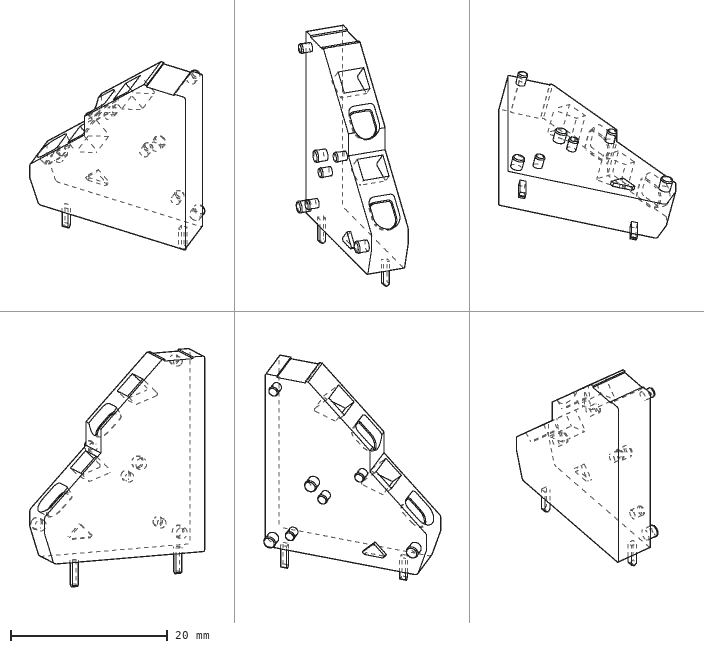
import cadquery as cq

BODY_LENGTH = 22.07
BODY_WIDTH = 5.08
BODY_HEIGHT = 25.55
LOWER_SLOPE_START_Z = 6.27
CHIN_Z = 4.05
CHIN_SETBACK = 1.27
STEP_X = 7.75
UPPER_SLOPE_START_Z = 17.12
FRONT_RADIUS = 0.5
BACK_RADIUS = 0.25
LABEL_START_X = 16.57
LABEL_END_X = 20.47
LABEL_DEPTH = 0.22

LOWER_SLOPE_RISE = LOWER_SLOPE_START_Z
UPPER_SLOPE_RISE = UPPER_SLOPE_START_Z - STEP_X
SLOPE_ANGLE = 45
CUT_CLEARANCE = 0.5

WIRE_LENGTH = 4.62
WIRE_MIN_Y = 0.62
WIRE_MAX_Y = 4.2
WIRE_DEPTH = 1.42
WIRE_TAPER = 0.32
WIRE_SMALL_CORNER = 0.5
WIRE_LARGE_CORNER = 0.9
WIRE_FLOOR_CHAMFER = 0.12

TEST_LENGTH = 2.95
TEST_MIN_Y = 0.52
TEST_MAX_Y = 4.05
TEST_SHALLOW_DEPTH = 1.65
TEST_DEEP_DEPTH = 3.15
TEST_END_RADIUS = 0.25

TIERS = [
    (LOWER_SLOPE_RISE, 0.22, 5.2),
    (UPPER_SLOPE_RISE, 7.0, 11.65),
]

PEG_LENGTH = 1.5
PEG_BEAD_START = 0.5
PEG_BEAD_CREST = 0.2
PEG_BEAD_HEIGHT = 0.05
LARGE_PEG_DIAMETER = 1.5
SMALL_PEG_DIAMETER = 1.2
LARGE_PEGS = [(1.5, 4.06), (15.39, 10.97), (20.97, 1.49)]
SMALL_PEGS = [(8.7, 13.66), (13.75, 9.35), (18.18, 3.0), (20.43, 23.97)]

PAD_THICKNESS = 0.5
PAD_MIN_X = 5.5
PAD_PEAK_X = 7.05
PAD_BOTTOM_Z = 1.88
PAD_SHOULDER_Z = 2.18

PIN_SIZE = 0.8
PIN_LENGTH = 3.45
PIN_EMBED = 1.0
PIN_TIP_HEIGHT = 0.35
PIN_TIP_INSET = 0.25
FRONT_PIN = (4.6, 1.27)
BACK_PIN = (19.88, 3.81)


def make_body():
    """Side profile in XZ, extruded over the full width, with its corners rounded."""
    upper_slope_end_x = BODY_HEIGHT - UPPER_SLOPE_RISE
    label_z = BODY_HEIGHT - LABEL_DEPTH
    profile = [
        (CHIN_SETBACK, 0),
        (BODY_LENGTH, 0),
        (BODY_LENGTH, BODY_HEIGHT),
        (LABEL_END_X, BODY_HEIGHT),
        (LABEL_END_X, label_z),
        (LABEL_START_X, label_z),
        (LABEL_START_X, BODY_HEIGHT),
        (upper_slope_end_x, BODY_HEIGHT),
        (STEP_X, UPPER_SLOPE_START_Z),
        (STEP_X, STEP_X + LOWER_SLOPE_RISE),
        (0, LOWER_SLOPE_START_Z),
        (0, CHIN_Z),
    ]
    body = cq.Workplane("XZ").polyline(profile).close().extrude(-BODY_WIDTH)

    def corner(x, z):
        return cq.selectors.NearestToPointSelector((x, BODY_WIDTH / 2, z))

    for x, z in [(CHIN_SETBACK, 0), (0, LOWER_SLOPE_START_Z), (0, CHIN_Z)]:
        body = body.edges("|Y").edges(corner(x, z)).fillet(FRONT_RADIUS)
    for z in (0, BODY_HEIGHT):
        body = body.edges("|Y").edges(corner(BODY_LENGTH, z)).fillet(BACK_RADIUS)
    return body


def place_on_slope(cutter, slope_rise, x):
    """Move a cutter modelled on a flat top face (local +X uphill) onto a slope."""
    tilted = cutter.rotate((0, 0, 0), (0, 1, 0), -SLOPE_ANGLE)
    return tilted.translate((x, 0, x + slope_rise))


def wire_outline(plane, inset):
    """Wire opening, round at its lower end and square with rounded corners at its upper end."""
    end_x = WIRE_LENGTH - inset
    max_y = WIRE_MAX_Y - inset
    radius = (max_y - WIRE_MIN_Y) / 2
    arc_x = inset + radius
    return (
        plane.moveTo(arc_x, WIRE_MIN_Y)
        .lineTo(end_x - WIRE_SMALL_CORNER, WIRE_MIN_Y)
        .radiusArc((end_x, WIRE_MIN_Y + WIRE_SMALL_CORNER), -WIRE_SMALL_CORNER)
        .lineTo(end_x, max_y - WIRE_LARGE_CORNER)
        .radiusArc((end_x - WIRE_LARGE_CORNER, max_y), -WIRE_LARGE_CORNER)
        .lineTo(arc_x, max_y)
        .threePointArc((inset, WIRE_MIN_Y + radius), (arc_x, WIRE_MIN_Y))
        .close()
    )


def make_wire_entry():
    """Wire funnel with walls leaning in towards a chamfered floor."""
    funnel = wire_outline(cq.Workplane("XY"), 0)
    funnel = wire_outline(funnel.workplane(offset=-WIRE_DEPTH), WIRE_TAPER).loft(ruled=True)
    funnel = funnel.faces("<Z").edges().chamfer(WIRE_FLOOR_CHAMFER)
    mouth = wire_outline(cq.Workplane("XY"), 0).extrude(CUT_CLEARANCE)
    return funnel.union(mouth)


def make_test_slot():
    """Rectangular slot whose floor deepens towards its upper end."""
    return (
        cq.Workplane("XZ", origin=(0, TEST_MIN_Y, 0))
        .moveTo(0, CUT_CLEARANCE)
        .lineTo(0, -TEST_SHALLOW_DEPTH)
        .lineTo(TEST_LENGTH, -TEST_DEEP_DEPTH)
        .lineTo(TEST_LENGTH, CUT_CLEARANCE)
        .close()
        .extrude(TEST_MIN_Y - TEST_MAX_Y)
        .edges("|Y and >X and <Z")
        .fillet(TEST_END_RADIUS)
    )


def make_peg(x, z, diameter):
    """Round peg on the +Y face, with a low bead just behind its tip."""
    radius = diameter / 2
    peg = (
        cq.Workplane("XY")
        .lineTo(radius, 0)
        .lineTo(radius, PEG_LENGTH - PEG_BEAD_START)
        .lineTo(radius + PEG_BEAD_HEIGHT, PEG_LENGTH - PEG_BEAD_CREST)
        .lineTo(radius - PEG_BEAD_HEIGHT, PEG_LENGTH)
        .lineTo(0, PEG_LENGTH)
        .close()
        .revolve(360, (0, 0, 0), (0, 1, 0))
    )
    return peg.translate((x, BODY_WIDTH, z))


def make_pad():
    """Low pad with a 45 degree gable, raised from the +Y face."""
    half_width = PAD_PEAK_X - PAD_MIN_X
    foot = PAD_SHOULDER_Z - PAD_BOTTOM_Z
    max_x = PAD_PEAK_X + half_width
    outline = [
        (PAD_MIN_X, PAD_SHOULDER_Z),
        (PAD_PEAK_X, PAD_SHOULDER_Z + half_width),
        (max_x, PAD_SHOULDER_Z),
        (max_x - foot, PAD_BOTTOM_Z),
        (PAD_MIN_X + foot, PAD_BOTTOM_Z),
    ]
    pad = cq.Workplane("XZ", origin=(0, BODY_WIDTH, 0)).polyline(outline).close()
    return pad.extrude(-PAD_THICKNESS)


def make_pin(x, y):
    """Square solder pin with its tip chamfered on the two Y sides."""
    height = PIN_LENGTH + PIN_EMBED
    pin = cq.Workplane("XY").box(PIN_SIZE, PIN_SIZE, height, centered=(True, True, False))
    pin = pin.faces("<Z").edges("|X").chamfer(PIN_TIP_INSET, PIN_TIP_HEIGHT)
    return pin.translate((x, y, -PIN_LENGTH))


result = make_body()
for rise, wire_x, test_x in TIERS:
    result = result.cut(place_on_slope(make_wire_entry(), rise, wire_x))
    result = result.cut(place_on_slope(make_test_slot(), rise, test_x))
for positions, diameter in ((LARGE_PEGS, LARGE_PEG_DIAMETER), (SMALL_PEGS, SMALL_PEG_DIAMETER)):
    for peg_x, peg_z in positions:
        result = result.union(make_peg(peg_x, peg_z, diameter))
result = result.union(make_pad())
for pin_x, pin_y in (FRONT_PIN, BACK_PIN):
    result = result.union(make_pin(pin_x, pin_y))